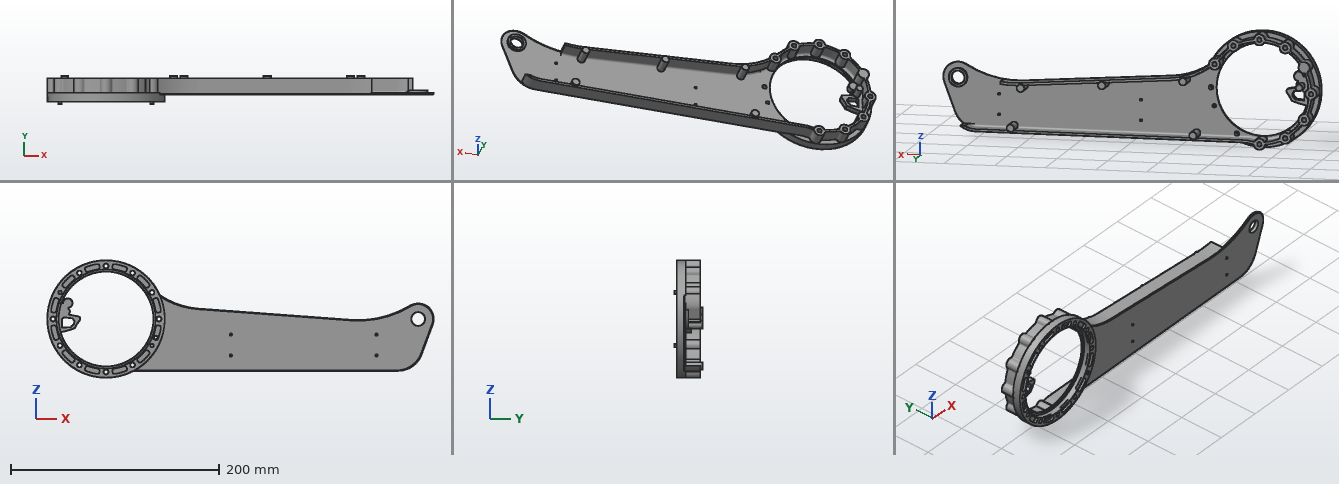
import cadquery as cq
import math

flange_depth = 7.0
plate_thickness = 1.7
plate_back = flange_depth + plate_thickness
wall_back = 23.0
peg_height = 2.0

ring_radius = 56.5
flange_bore_radius = 47.7
plate_bore_radius = 45.5
bolt_circle_radius = 51.0
bolt_count = 12
bolt_pitch = 360.0 / bolt_count
bolt_hole_diameter = 4.4
pin_angles = (150.0, -30.0)
pin_diameter = 3.4
index_hole_angle = -20.5
index_hole_diameter = 3.4

slot_inner_radius = 48.4
slot_outer_radius = 53.5
slot_half_angle = 8.0
slot_depth = 3.0
slot_corner_radius = 2.0

wall_thickness = 2.5
ring_wall_outer_radius = 51.5
ring_wall_inner_radius = ring_wall_outer_radius - wall_thickness
lobe_radius = ring_radius - bolt_circle_radius
first_lobe, last_lobe = 1, 9
lobe_angles = [bolt_pitch * i for i in range(first_lobe, last_lobe + 1)]
wall_foot_fillet = 2.0
lobe_root_fillet = 2.0

arm_bottom = -50.0
edge_chamfer = 0.8
eye_x = 300.0
eye_radius = 15.0
eye_hole_radius = 6.5
eye_boss_radius = 9.0
eye_boss_height = 2.6
corner_x = 280.0
corner_radius = 25.0
corner_z = arm_bottom + corner_radius
top_line_start = (88.4, 10.1)
top_line_slope = math.radians(4.2)
neck_radius = 75.0
neck_start_x = 38.0
throat_radius = 96.0

wall_end_x = 255.3
wall_end_z = -45.0

screw_hole_diameter = 2.0
screw_hole_places = [(x, z) for x in (120.0, 260.0) for z in (-15.0, -35.0)]
peg_radius = 3.7
peg_edge_gap = 1.2
top_peg_xs = (75.0, 155.0, 235.0)
bottom_peg_xs = (65.0, 245.0)

latch_front = flange_depth + 1.0
latch_back = latch_front + 6.0
latch_knob_centre = (-36.7, 15.3)
latch_knob_radius = 4.6
latch_peg_centre = (-39.7, 6.0)
latch_peg_radius = 3.3
latch_outline = [
    (-46.0, 15.3), (-38.0, 15.3), (-35.9, 9.9), (-34.4, 7.5), (-35.5, 4.3),
    (-26.5, 2.6), (-25.0, 1.8), (-24.6, -0.4), (-28.0, -5.2), (-30.0, -9.0), (-37.4, -11.4), (-46.0, -13.4),
]
latch_window = [
    (-42.2, 0.0), (-40.4, 1.5), (-32.2, 0.5), (-30.3, -2.2), (-31.0, -5.0), (-34.0, -7.7), (-42.2, -8.2),
]


def plane_at(y):
    """Sketch plane facing forward at depth y, with local axes X and Z."""
    return cq.Workplane("XZ", origin=(0, y, 0))


def disc(radius, y_front, y_back, centre=(0, 0)):
    return plane_at(y_front).center(*centre).circle(radius).extrude(y_front - y_back)


def polar(radius, degrees):
    angle = math.radians(degrees)
    return (radius * math.cos(angle), radius * math.sin(angle))


def around(centre, radius, degrees):
    dx, dz = polar(radius, degrees)
    return (centre[0] + dx, centre[1] + dz)


def neck_centre():
    x, z = top_line_start
    return (x + neck_radius * math.sin(top_line_slope), z + neck_radius * math.cos(top_line_slope))


def throat_centre():
    """Centre of the arc that touches both the top edge and the eye."""
    normal = (math.sin(top_line_slope), math.cos(top_line_slope))
    along = (math.cos(top_line_slope), -math.sin(top_line_slope))
    to_eye = (eye_x - top_line_start[0], -top_line_start[1])
    eye_along = to_eye[0] * along[0] + to_eye[1] * along[1]
    eye_above = to_eye[0] * normal[0] + to_eye[1] * normal[1]
    reach = throat_radius + eye_radius
    run = eye_along - math.sqrt(reach**2 - (throat_radius - eye_above) ** 2)
    return (
        top_line_start[0] + run * along[0] + throat_radius * normal[0],
        top_line_start[1] + run * along[1] + throat_radius * normal[1],
    )


def neck_height(x):
    cx, cz = neck_centre()
    return cz - math.sqrt(neck_radius**2 - (x - cx) ** 2)


def top_edge_height(x):
    """Height of the arm's top edge between the ring and the throat."""
    if x < top_line_start[0]:
        return neck_height(x)
    return top_line_start[1] - (x - top_line_start[0]) * math.tan(top_line_slope)


def arm_outline(y):
    """Closed outline of the arm; its left end is hidden inside the ring."""
    eye = (eye_x, 0.0)
    corner = (corner_x, corner_z)
    throat = throat_centre()
    line_normal = -90.0 - math.degrees(top_line_slope)
    throat_end = math.degrees(math.atan2(-throat[1], eye_x - throat[0]))
    eye_start = throat_end + 180.0
    dx, dz = corner_x - eye_x, corner_z
    end_normal = math.degrees(
        math.atan2(dz, dx) + math.acos((eye_radius - corner_radius) / math.hypot(dx, dz))
    )
    end_normal = (end_normal + 180.0) % 360.0 - 180.0
    neck_middle_x = (neck_start_x + top_line_start[0]) / 2
    return (
        plane_at(y)
        .moveTo(0, arm_bottom)
        .lineTo(corner_x, arm_bottom)
        .threePointArc(
            around(corner, corner_radius, (end_normal - 90.0) / 2),
            around(corner, corner_radius, end_normal),
        )
        .lineTo(*around(eye, eye_radius, end_normal))
        .threePointArc(
            around(eye, eye_radius, (end_normal + eye_start) / 2),
            around(eye, eye_radius, eye_start),
        )
        .threePointArc(
            around(throat, throat_radius, (throat_end + line_normal) / 2),
            around(throat, throat_radius, line_normal),
        )
        .lineTo(*top_line_start)
        .threePointArc(
            (neck_middle_x, neck_height(neck_middle_x)),
            (neck_start_x, neck_height(neck_start_x)),
        )
        .lineTo(0, 0)
        .close()
    )


def front_plate():
    plate = arm_outline(flange_depth).extrude(-plate_thickness)
    plate = plate.faces("<Y").edges().chamfer(edge_chamfer)
    return plate.union(disc(ring_radius, flange_depth, plate_back))


def lobe(angle):
    return disc(lobe_radius, plate_back, wall_back, polar(bolt_circle_radius, angle))


def scalloped_disc():
    """Disc with a lobe at every bolt position, blended at the roots."""
    scallops = disc(ring_wall_outer_radius, plate_back, wall_back)
    for i in range(bolt_count):
        scallops = scallops.union(lobe(bolt_pitch * i))
    return scallops.edges("|Y").fillet(lobe_root_fillet)


def rim_wall():
    depth = wall_back - plate_back
    outside = arm_outline(plate_back).extrude(-depth)
    outside = outside.union(scalloped_disc())
    cavity = arm_outline(plate_back).offset2D(-wall_thickness).extrude(-depth)
    cavity = cavity.union(disc(ring_wall_inner_radius, plate_back, wall_back))
    cavity = cavity.faces("<Y").edges().fillet(wall_foot_fillet)
    cut_length = eye_x + eye_radius - wall_end_x
    cut_height = eye_radius - wall_end_z
    eye_clearance = (
        plane_at(plate_back)
        .center(wall_end_x, wall_end_z)
        .rect(cut_length, cut_height, centered=False)
        .extrude(-depth)
    )
    wall = outside.cut(cavity).cut(eye_clearance)
    for angle in lobe_angles:
        wall = wall.union(lobe(angle))
    return wall


def arm_pegs():
    inset = peg_edge_gap + peg_radius
    places = [(x, top_edge_height(x) - inset) for x in top_peg_xs]
    places += [(x, arm_bottom + inset) for x in bottom_peg_xs]
    length = wall_back + peg_height - plate_back
    return plane_at(plate_back).pushPoints(places).circle(peg_radius).extrude(-length)


def latch():
    depth = latch_back - latch_front
    tongue = plane_at(latch_front).polyline(latch_outline).close().extrude(-depth)
    tongue = tongue.union(disc(latch_knob_radius, latch_front, latch_back, latch_knob_centre))
    window = plane_at(latch_front).polyline(latch_window).close().extrude(-depth)
    peg = disc(latch_peg_radius, latch_front, wall_back + peg_height, latch_peg_centre)
    return tongue.cut(window).union(peg)


def arc_slot():
    """One blind slot centred on the X direction."""
    slot = (
        plane_at(0)
        .moveTo(*polar(slot_inner_radius, -slot_half_angle))
        .lineTo(*polar(slot_outer_radius, -slot_half_angle))
        .threePointArc((slot_outer_radius, 0), polar(slot_outer_radius, slot_half_angle))
        .lineTo(*polar(slot_inner_radius, slot_half_angle))
        .threePointArc((slot_inner_radius, 0), polar(slot_inner_radius, -slot_half_angle))
        .close()
        .extrude(-slot_depth)
    )
    return slot.edges("|Y").fillet(slot_corner_radius)


def flange():
    ring = disc(ring_radius, 0, flange_depth)
    slot = arc_slot()
    for i in range(bolt_count):
        ring = ring.cut(slot.rotate((0, 0, 0), (0, 1, 0), bolt_pitch * (i + 0.5)))
    return ring.cut(disc(flange_bore_radius, 0, flange_depth))


def bolt_holes():
    pinned = [angle % 360 for angle in pin_angles]
    open_angles = [bolt_pitch * i for i in range(bolt_count) if bolt_pitch * i not in pinned]
    places = [polar(bolt_circle_radius, angle) for angle in open_angles]
    holes = plane_at(0).pushPoints(places).circle(bolt_hole_diameter / 2).extrude(-wall_back)
    index_place = polar(bolt_circle_radius, index_hole_angle)
    return holes.union(disc(index_hole_diameter / 2, 0, wall_back, index_place))


def cut_holes(solid):
    solid = solid.cut(bolt_holes())
    solid = solid.cut(disc(eye_hole_radius, flange_depth, wall_back, (eye_x, 0)))
    for place in screw_hole_places:
        solid = solid.cut(disc(screw_hole_diameter / 2, flange_depth, plate_back, place))
    return solid


def add_pins(solid):
    for angle in pin_angles:
        place = polar(bolt_circle_radius, angle)
        solid = solid.union(disc(pin_diameter / 2, -peg_height, flange_depth, place))
    return solid


eye_boss = disc(eye_boss_radius, plate_back, plate_back + eye_boss_height, (eye_x, 0))
plate_bore = disc(plate_bore_radius, flange_depth, plate_back)
body = flange().union(front_plate()).union(rim_wall()).union(arm_pegs()).union(eye_boss)
body = body.cut(plate_bore).union(latch())
result = add_pins(cut_holes(body))